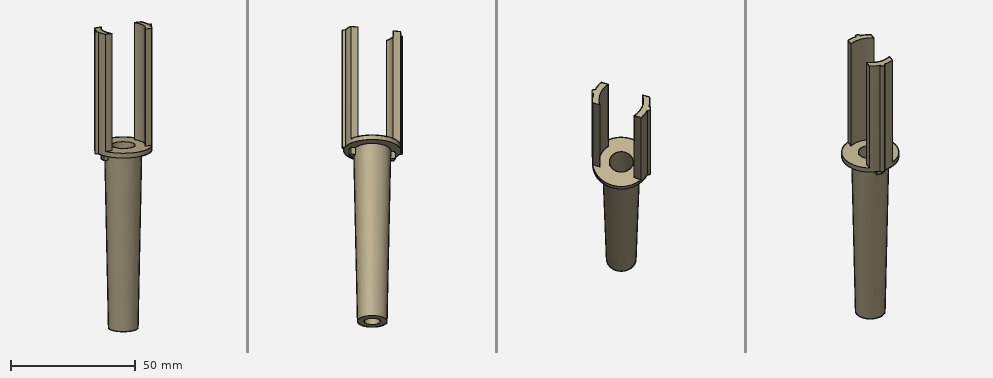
import cadquery as cq

flange_diameter = 23.0
flange_thickness = 2.0

shank_length = 74.4
shank_top_diameter = 15.0
shank_tip_diameter = 12.0
bore_tip_diameter = 6.5
shank_wall = (shank_tip_diameter - bore_tip_diameter) / 2
bore_top_diameter = shank_top_diameter - 2 * shank_wall

prong_height = 49.0
prong_width = 10.2
prong_inner_diameter = 17.8

rib_radius = 1.0

key_width = 2.6
key_depth = 3.0
key_span = 18.5

prong_top = flange_thickness + prong_height


def cone(bottom_diameter, top_diameter, bottom_z, top_z):
    """Truncated cone standing on the Z axis."""
    solid = cq.Solid.makeCone(
        bottom_diameter / 2,
        top_diameter / 2,
        top_z - bottom_z,
        pnt=cq.Vector(0, 0, bottom_z),
    )
    return cq.Workplane(solid)


def make_flange():
    return cq.Workplane("XY").circle(flange_diameter / 2).extrude(flange_thickness)


def make_prongs():
    """Ring trimmed to a narrow band, leaving one prong on each Y side."""
    ring = (
        cq.Workplane("XY")
        .circle(flange_diameter / 2)
        .circle(prong_inner_diameter / 2)
        .extrude(prong_top)
    )
    band = cq.Workplane("XY").box(
        prong_width, flange_diameter, prong_top, centered=(True, True, False)
    )
    return ring.intersect(band)


def make_ribs():
    """Round bars centred on the flange rim, from its underside to the prong tops."""
    rim_radius = flange_diameter / 2
    return (
        cq.Workplane("XY")
        .pushPoints([(0, -rim_radius), (0, rim_radius)])
        .circle(rib_radius)
        .extrude(prong_top)
    )


def make_keys():
    """One bar across the shank whose two ends form the keys."""
    return (
        cq.Workplane("XY")
        .rect(key_width, key_span)
        .extrude(-key_depth)
    )


shank = cone(shank_tip_diameter, shank_top_diameter, -shank_length, 0)

bore = cone(bore_tip_diameter, bore_top_diameter, -shank_length, flange_thickness)

result = (
    make_flange()
    .union(make_prongs())
    .union(make_ribs())
    .union(make_keys())
    .union(shank)
    .cut(bore)
)